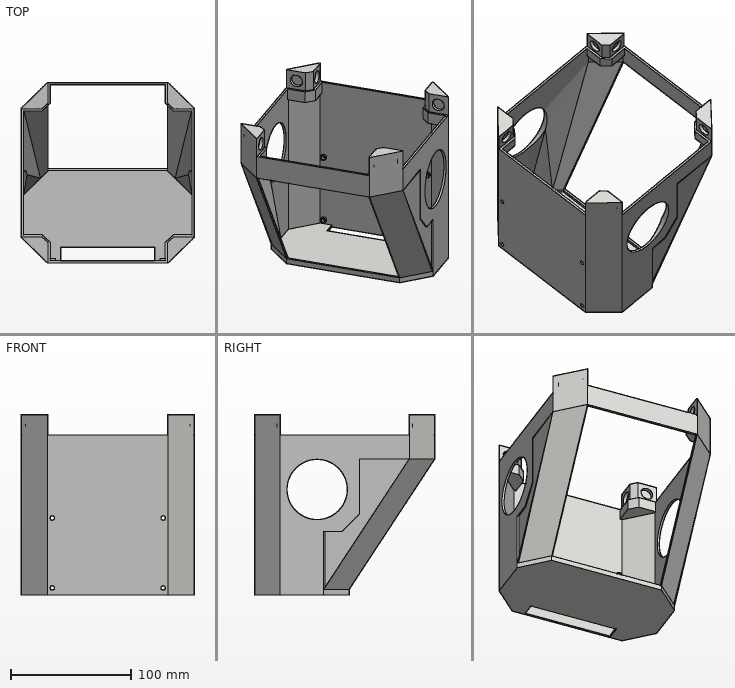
import cadquery as cq

WIDTH = 144.0
DEPTH = 150.0
HEIGHT = 150.0
WALL = 2.0

BEVEL_X = 21.8
BEVEL_Y = 21.3

BASE_TOP = 4.6
SLOPE_TOP = 113.2
RIM_TOP = 133.2
BASE_BACK_Y = 3.8

POST_X = 22.4
POST_Y = 21.8
POST_CUT_X = 5.1
POST_CUT_Y = 4.6
COLLAR = 2.0
COLLAR_HEIGHT = 9.9
POCKET_DIAMETER = 10.5
POCKET_DEPTH = 3.0
POCKET_INSET = 9.0
POCKET_Z = 141.0

PORT_DIAMETER = 50.0
PORT_Y = -23.0
PORT_Z = 87.8

SCREW_DIAMETER = 3.5
BOSS_DIAMETER = 5.0
BOSS_HEIGHT = 2.0
SCREW_X = 46.0
SCREW_LEVELS = (5.8, 64.0)

SLOT_WIDTH = 78.0
SLOT_BACK_Y = -62.0

RECESS_DEPTH = 1.0
RECESS_UPPER_Y = 12.5
RECESS_MIDDLE_Y = -2.2
RECESS_UPPER_Z = 67.6
RECESS_LOWER_Z = 52.8

GUSSET_WIDTH = 14.1
GUSSET_WALL_TOP = 90.0
GUSSET_FOLD_RISE = 3.0
GUSSET_FOLD_Y = -1.5
GUSSET_FOLD_Z = 75.0

FRONT_Y = -DEPTH / 2
BACK_Y = DEPTH / 2
SIDE_X = WIDTH / 2
BEVEL_BACK_Y = BACK_Y - BEVEL_Y
BEVEL_BASE_Y = BASE_BACK_Y - BEVEL_Y


def octagon(back_y, inset):
    """Bevelled rectangle whose walls are moved inward by the inset."""
    x = SIDE_X - inset
    front = FRONT_Y + inset
    back = back_y - inset
    diagonal = (BEVEL_X**2 + BEVEL_Y**2) ** 0.5
    scale = 1 - inset * (BEVEL_X + BEVEL_Y - diagonal) / (BEVEL_X * BEVEL_Y)
    bevel_x = BEVEL_X * scale
    bevel_y = BEVEL_Y * scale
    return [
        (-x + bevel_x, front),
        (x - bevel_x, front),
        (x, front + bevel_y),
        (x, back - bevel_y),
        (x - bevel_x, back),
        (-x + bevel_x, back),
        (-x, back - bevel_y),
        (-x, front + bevel_y),
    ]


def prism(points, bottom, top):
    return cq.Workplane("XY").workplane(offset=bottom).polyline(points).close().extrude(top - bottom)


def body(inset, bottom, top):
    """Short base, sloping middle and full-depth upper part."""
    base_plan = octagon(BASE_BACK_Y, inset)
    upper_plan = octagon(BACK_Y, inset)
    middle = (
        cq.Workplane("XY")
        .workplane(offset=BASE_TOP)
        .polyline(base_plan)
        .close()
        .workplane(offset=SLOPE_TOP - BASE_TOP)
        .polyline(upper_plan)
        .close()
        .loft(ruled=True, combine=True)
    )
    return prism(base_plan, bottom, BASE_TOP).union(middle).union(prism(upper_plan, SLOPE_TOP, top))


def polyhedron(points, faces):
    sides = []
    for face in faces:
        corners = [cq.Vector(*points[i]) for i in face]
        sides.append(cq.Face.makeFromWires(cq.Wire.makePolygon(corners, close=True)))
    return cq.Workplane(obj=cq.Solid.makeSolid(cq.Shell.makeShell(sides)))


def both_sides(left):
    return left.union(left.mirror("YZ"))


def four_corners(front_left):
    front = both_sides(front_left)
    return front.union(front.mirror("XZ"))


def post_plan(margin):
    """Front left corner block with a cut inner corner."""
    x = -SIDE_X + POST_X + margin
    y = FRONT_Y + POST_Y + margin
    return [
        (-SIDE_X, FRONT_Y),
        (-SIDE_X + (BEVEL_X + POST_X) / 2, FRONT_Y),
        (x, FRONT_Y + WALL),
        (x, y - POST_CUT_Y - margin),
        (x - POST_CUT_X - margin, y),
        (-SIDE_X, y),
    ]


def corner_post():
    collar_bottom = RIM_TOP - COLLAR_HEIGHT
    post = prism(post_plan(0), collar_bottom, HEIGHT)
    post = post.union(prism(post_plan(COLLAR), collar_bottom, RIM_TOP))
    pocket_facing_x = (
        cq.Workplane("YZ", origin=(-SIDE_X + POST_X, FRONT_Y + POCKET_INSET, POCKET_Z))
        .circle(POCKET_DIAMETER / 2)
        .extrude(-POCKET_DEPTH)
    )
    pocket_facing_y = (
        cq.Workplane("XZ", origin=(-SIDE_X + POCKET_INSET, FRONT_Y + POST_Y, POCKET_Z))
        .circle(POCKET_DIAMETER / 2)
        .extrude(POCKET_DEPTH)
    )
    return post.cut(pocket_facing_x).cut(pocket_facing_y)


def gusset():
    """Folded filler from the side wall to the strip, anchored inside the base corner."""
    left_corner = 6
    back_corner = 5
    base_plan = octagon(BASE_BACK_Y, WALL)
    wall_base = base_plan[left_corner]
    strip_end = base_plan[back_corner]
    share = GUSSET_WIDTH / (strip_end[0] - wall_base[0])
    strip_base = [a + share * (b - a) for a, b in zip(wall_base, strip_end)]
    inner_x = wall_base[0]
    points = [
        (*octagon(BACK_Y, WALL)[left_corner], SLOPE_TOP),
        (*strip_base, BASE_TOP),
        (*wall_base, BASE_TOP),
        (inner_x, wall_base[1], GUSSET_WALL_TOP),
        (inner_x + GUSSET_FOLD_RISE, GUSSET_FOLD_Y, GUSSET_FOLD_Z),
        (*octagon(BASE_BACK_Y, WALL / 2)[left_corner], BASE_TOP),
    ]
    inner_faces = [(0, 3, 4), (3, 2, 4), (2, 1, 4), (1, 0, 4)]
    anchor_faces = [(3, 0, 5), (2, 3, 5), (1, 2, 5), (0, 1, 5)]
    return polyhedron(points, inner_faces + anchor_faces)


def recess():
    """Wedge that deepens toward the front and ends on the bevel of the base."""
    outline = [
        (BEVEL_BACK_Y, SLOPE_TOP),
        (RECESS_UPPER_Y, SLOPE_TOP),
        (RECESS_UPPER_Y, RECESS_UPPER_Z),
        (RECESS_MIDDLE_Y, RECESS_LOWER_Z),
        (BEVEL_BASE_Y, RECESS_LOWER_Z),
        (BEVEL_BASE_Y, BASE_TOP),
    ]
    region = cq.Workplane("YZ", origin=(-SIDE_X, 0, 0)).polyline(outline).close().extrude(RECESS_DEPTH)
    taper = prism(
        [
            (-SIDE_X, BEVEL_BACK_Y),
            (-SIDE_X, BEVEL_BASE_Y),
            (-SIDE_X + RECESS_DEPTH, BEVEL_BASE_Y + RECESS_DEPTH * BEVEL_Y / BEVEL_X),
        ],
        BASE_TOP,
        SLOPE_TOP,
    )
    return region.intersect(taper)


def screw_cylinders(diameter):
    """Round pins from the outer front face to the boss ends."""
    points = [(x, z) for x in (-SCREW_X, SCREW_X) for z in SCREW_LEVELS]
    return (
        cq.Workplane("XZ", origin=(0, FRONT_Y, 0))
        .pushPoints(points)
        .circle(diameter / 2)
        .extrude(-(WALL + BOSS_HEIGHT))
    )


def box_between(low, high):
    size = [b - a for a, b in zip(low, high)]
    return cq.Workplane("XY").box(*size, centered=False).translate(low)


outer = body(0, 0, HEIGHT)
shell = body(0, 0, RIM_TOP).cut(body(WALL, WALL, HEIGHT))
opening_x = SIDE_X - POST_X
shell = shell.cut(box_between((-opening_x, BASE_BACK_Y - WALL, BASE_TOP), (opening_x, BACK_Y, SLOPE_TOP)))
shell = shell.union(both_sides(gusset()))
shell = shell.union(four_corners(corner_post()).intersect(outer))

inner_front_y = FRONT_Y + WALL
shell = shell.cut(box_between((-SLOT_WIDTH / 2, inner_front_y, 0), (SLOT_WIDTH / 2, SLOT_BACK_Y, WALL)))
shell = shell.cut(both_sides(recess()))
ports = cq.Workplane("YZ").center(PORT_Y, PORT_Z).circle(PORT_DIAMETER / 2).extrude(SIDE_X, both=True)
shell = shell.cut(ports)

shell = shell.union(screw_cylinders(BOSS_DIAMETER))
result = shell.cut(screw_cylinders(SCREW_DIAMETER))